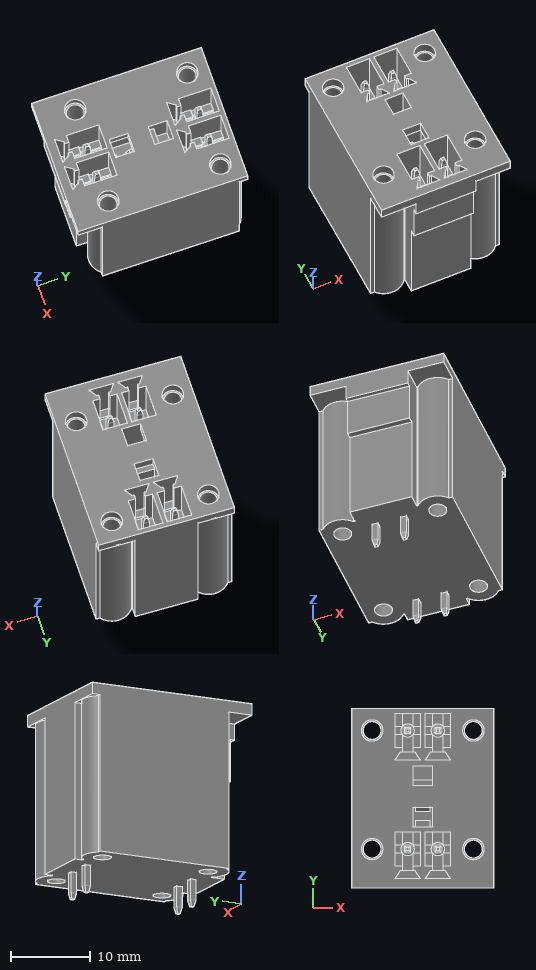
import cadquery as cq
import math

width = 18.0
depth = 22.7
height = 22.0
flange_thickness = 1.5
flange_underside = height - flange_thickness

row_front_y = 4.92
row_pitch = 15.0
row_ys = (row_front_y, row_front_y + row_pitch)
hole_x = 6.4
pin_x = 1.9
pin_places = [(x, y) for x in (-pin_x, pin_x) for y in row_ys]
hole_places = [(x, y) for x in (-hole_x, hole_x) for y in row_ys]

column_radius = 2.65
wall_offset = 1.65
wall_front_y = row_ys[0] - wall_offset
wall_back_y = row_ys[1] + wall_offset
hole_diameter = 2.25
counterbore_diameter = 2.7

centre_width = 8.35
centre_front_y = 1.43
upper_step_setback = 0.6
upper_step_height = 12.9
top_step_height = 18.4

cavity_width = 3.21
cavity_length = 4.34
cavity_depth = 6.38
groove_depth = 0.5
long_groove_width = 1.3
cross_groove_width = 1.05
neck_end = 2.73
dovetail_end = 3.75
dovetail_narrow_width = 1.85
cavity_floor = height - cavity_depth
groove_floor = cavity_floor - groove_depth

pin_size = 0.8
pin_tip_size = 0.4
pin_taper_length = 0.8
pin_projection = 3.5
pin_bottom = -pin_projection
pin_tip_recess = 1.48
pin_top = height - pin_tip_recess
collar_diameter = 1.68
collar_fillet = 0.25
collar_height = 1.02

window_size = 2.5
latch_window_y = 7.7
ledge_window_y = 12.93
ledge_length = 0.71
ledge_window_depth = 5.1

chamber_width = 4.08
chamber_length = 4.08
chamber_floor = 14.28
latch_base_thickness = 1.02
latch_nose_width = 1.78
latch_ramp_angle = 60.0
latch_ramp_length = 0.54
latch_stop_length = 0.82
latch_stop_height = 0.5


def box(x_size, y_from, y_to, z_from, z_to, x_centre=0.0):
    """A block centred on x_centre, between two Y and two Z positions."""
    return cq.Workplane("XY").box(
        x_size, y_to - y_from, z_to - z_from, centered=(True, False, False)
    ).translate((x_centre, y_from, z_from))


def column_bulge(x, y, side):
    """The part of a screw column outside the wall; side is -1 at the front and 1 at the back."""
    wall_y = y + side * wall_offset
    half_chord = math.sqrt(column_radius**2 - wall_offset**2)
    return (
        cq.Workplane("XY")
        .moveTo(x - half_chord, wall_y)
        .threePointArc((x, y + side * column_radius), (x + half_chord, wall_y))
        .close()
        .extrude(flange_underside)
    )


def housing_block():
    """Flange, main block, screw columns and centre blocks, without any openings."""
    block = box(width, 0, depth, flange_underside, height)
    block = block.union(box(width, wall_front_y, wall_back_y, 0, flange_underside))
    for x, y in hole_places:
        side = -1 if y == row_ys[0] else 1
        block = block.union(column_bulge(x, y, side))
    block = block.union(box(centre_width, wall_back_y, depth, 0, flange_underside))
    front_steps = (
        (centre_front_y, 0),
        (upper_step_setback, upper_step_height),
        (0, top_step_height),
    )
    for front_y, bottom in front_steps:
        block = block.union(box(centre_width, front_y, wall_front_y, bottom, flange_underside))
    return block


def dovetail(x, y):
    """Trapezoidal recess at the front end of a cavity's neck, as deep as the cavity."""
    narrow = dovetail_narrow_width / 2
    wide = cavity_width / 2
    corners = [(-narrow, -neck_end), (narrow, -neck_end), (wide, -dovetail_end), (-wide, -dovetail_end)]
    return (
        cq.Workplane("XY", origin=(x, y, cavity_floor))
        .polyline(corners)
        .close()
        .extrude(cavity_depth)
    )


def pin_cavity(x, y):
    """Cavity round one pin: crossed floor grooves, neck, dovetail, collar seat and pin hole."""
    back = y + cavity_length / 2
    front = y - cavity_length / 2
    half_cross = cross_groove_width / 2
    seat = cq.Workplane("XY", origin=(x, y, groove_floor)).circle(collar_diameter / 2).extrude(collar_height)
    return (
        box(cavity_width, front, back, cavity_floor, height, x)
        .union(box(long_groove_width, y - neck_end, back, groove_floor, height, x))
        .union(box(cavity_width, y - half_cross, y + half_cross, groove_floor, height, x))
        .union(dovetail(x, y))
        .union(seat)
        .union(box(pin_size, y - pin_size / 2, y + pin_size / 2, 0, height, x))
    )


def screw_holes():
    """Through holes, wider where they pass through the flange."""
    bores = cq.Workplane("XY").pushPoints(hole_places).circle(hole_diameter / 2).extrude(height)
    counterbores = (
        cq.Workplane("XY", origin=(0, 0, flange_underside))
        .pushPoints(hole_places)
        .circle(counterbore_diameter / 2)
        .extrude(flange_thickness)
    )
    return bores.union(counterbores)


def latch_opening():
    """Window through the flange into the wider latch chamber."""
    window = box(window_size, latch_window_y, latch_window_y + window_size, chamber_floor, height)
    chamber_back = latch_window_y + chamber_length
    return window.union(box(chamber_width, latch_window_y, chamber_back, chamber_floor, flange_underside))


def ledge_opening():
    """Blind window with a shallow ledge along its front side."""
    step_y = ledge_window_y + ledge_length
    back_y = ledge_window_y + window_size
    ledge = box(window_size, ledge_window_y, step_y, flange_underside, height)
    return ledge.union(box(window_size, step_y, back_y, height - ledge_window_depth, height))


def make_housing():
    housing = housing_block().cut(screw_holes()).cut(latch_opening()).cut(ledge_opening())
    for x, y in pin_places:
        housing = housing.cut(pin_cavity(x, y))
    return housing


def make_pin(x, y):
    """Square pin, tapered at both ends."""
    shank_bottom = pin_bottom + pin_taper_length
    shank_top = pin_top - pin_taper_length
    pin = box(pin_size, -pin_size / 2, pin_size / 2, shank_bottom, shank_top)
    for start, end in ((shank_bottom, pin_bottom), (shank_top, pin_top)):
        taper = (
            cq.Workplane("XY", origin=(0, 0, start))
            .rect(pin_size, pin_size)
            .workplane(offset=end - start)
            .rect(pin_tip_size, pin_tip_size)
            .loft()
        )
        pin = pin.union(taper)
    return pin.translate((x, y, 0))


def make_collar(x, y):
    """Round collar with a rounded top edge and a square hole for the pin."""
    return (
        cq.Workplane("XY", origin=(x, y, groove_floor))
        .circle(collar_diameter / 2)
        .extrude(collar_height)
        .faces(">Z")
        .edges()
        .fillet(collar_fillet)
        .cut(box(pin_size, y - pin_size / 2, y + pin_size / 2, groove_floor, height, x))
    )


def make_latch():
    """Base plate on the chamber floor with a ramped nose at the back and a low stop at the front."""
    base_top = chamber_floor + latch_base_thickness
    back_y = latch_window_y + chamber_length
    ramp_end = latch_window_y + window_size
    ramp_start = ramp_end - latch_ramp_length
    ramp_top = base_top + latch_ramp_length * math.tan(math.radians(latch_ramp_angle))
    base = box(chamber_width, latch_window_y, back_y, chamber_floor, base_top)
    nose = (
        cq.Workplane("YZ", origin=(-latch_nose_width / 2, 0, 0))
        .polyline([(ramp_start, base_top), (ramp_end, ramp_top), (back_y, ramp_top), (back_y, base_top)])
        .close()
        .extrude(latch_nose_width)
    )
    stop_back = latch_window_y + latch_stop_length
    stop = box(latch_nose_width, latch_window_y, stop_back, base_top, base_top + latch_stop_height)
    return base.union(nose).union(stop)


housing = make_housing()
latch = make_latch()
pins = [make_pin(x, y) for x, y in pin_places]
collars = [make_collar(x, y) for x, y in pin_places]

bodies = [housing, latch, *pins, *collars]
result = cq.Compound.makeCompound([body.solids().val() for body in bodies])